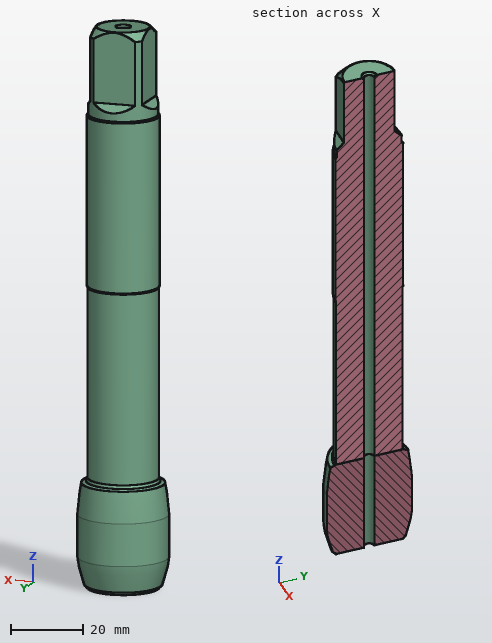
import cadquery as cq

total_length = 160.0
head_height = 30.4
collar_top = 31.4
shank_bottom = 85.8
shank_top = 135.0

neck_diameter = 20.0
shank_diameter = 20.3
drive_round_diameter = 19.5
collar_diameter = 20.8
shank_edge_chamfer = 0.4

drive_width = 15.2
drive_length = 20.5
drive_tip_diameter = 14.9

head_diameter = 25.6
head_top_diameter = 23.4
head_taper_diameter = 22.0
head_bottom_diameter = 20.0
head_bottom_chamfer_height = 1.0
head_top_bevel_height = 0.5
head_band_bottom = 8.8
head_band_top = 21.0
upper_bulge = 0.2
lower_bulge = 0.3

bore_diameter = 3.0
countersink_diameter = 4.3


def axial_bore():
    """Bore through both bodies, opened by a 45 degree countersink at the top."""
    bore_radius = bore_diameter / 2
    countersink_radius = countersink_diameter / 2
    countersink_depth = countersink_radius - bore_radius
    return (
        cq.Workplane("XZ")
        .lineTo(bore_radius, 0)
        .lineTo(bore_radius, total_length - countersink_depth)
        .lineTo(countersink_radius, total_length)
        .lineTo(0, total_length)
        .close()
        .revolve(360, (0, 0), (0, 1))
    )


def turned_shank():
    """Round blank of the shank, standing on the top face of the head."""
    neck_radius = neck_diameter / 2
    shank_radius = shank_diameter / 2
    drive_radius = drive_round_diameter / 2
    tip_radius = drive_tip_diameter / 2
    tip_chamfer = drive_radius - tip_radius
    return (
        cq.Workplane("XZ")
        .moveTo(0, head_height)
        .lineTo(collar_diameter / 2, head_height)
        .lineTo(neck_radius, collar_top)
        .lineTo(neck_radius, shank_bottom)
        .lineTo(shank_radius, shank_bottom + shank_edge_chamfer)
        .lineTo(shank_radius, shank_top - shank_edge_chamfer)
        .lineTo(drive_radius, shank_top)
        .lineTo(drive_radius, total_length - tip_chamfer)
        .lineTo(tip_radius, total_length)
        .lineTo(0, total_length)
        .close()
        .revolve(360, (0, 0), (0, 1))
    )


def drive_envelope():
    """Square drive whose flats run out at 45 degrees into the round shank."""
    drive_bottom = total_length - drive_length
    runout = (shank_diameter - drive_width) / 2
    runout_bottom = drive_bottom - runout
    square = (
        cq.Workplane("XY")
        .workplane(offset=drive_bottom)
        .rect(drive_width, drive_width)
        .extrude(drive_length)
    )
    flare = (
        cq.Workplane("XY")
        .workplane(offset=runout_bottom)
        .rect(shank_diameter, shank_diameter)
        .workplane(offset=runout)
        .rect(drive_width, drive_width)
        .loft(ruled=True)
    )
    body = (
        cq.Workplane("XY")
        .workplane(offset=head_height)
        .rect(head_diameter, head_diameter)
        .extrude(runout_bottom - head_height)
    )
    return body.union(flare).union(square)


def make_shank():
    return turned_shank().intersect(drive_envelope()).cut(axial_bore())


def make_head():
    """Barrel-shaped head with a straight middle band and a shallow bevel up to the collar."""
    band_radius = head_diameter / 2
    top_radius = head_top_diameter / 2
    taper_radius = head_taper_diameter / 2
    lower_middle = (
        (taper_radius + band_radius) / 2 + lower_bulge,
        (head_bottom_chamfer_height + head_band_bottom) / 2,
    )
    shoulder_height = head_height - head_top_bevel_height
    upper_middle = (
        (top_radius + band_radius) / 2 + upper_bulge,
        (head_band_top + shoulder_height) / 2,
    )
    barrel = (
        cq.Workplane("XZ")
        .lineTo(head_bottom_diameter / 2, 0)
        .lineTo(taper_radius, head_bottom_chamfer_height)
        .threePointArc(lower_middle, (band_radius, head_band_bottom))
        .lineTo(band_radius, head_band_top)
        .threePointArc(upper_middle, (top_radius, shoulder_height))
        .lineTo(collar_diameter / 2, head_height)
        .lineTo(0, head_height)
        .close()
        .revolve(360, (0, 0), (0, 1))
    )
    return barrel.cut(axial_bore())


shank = make_shank()
head = make_head()
result = cq.Compound.makeCompound([shank.val(), head.val()])